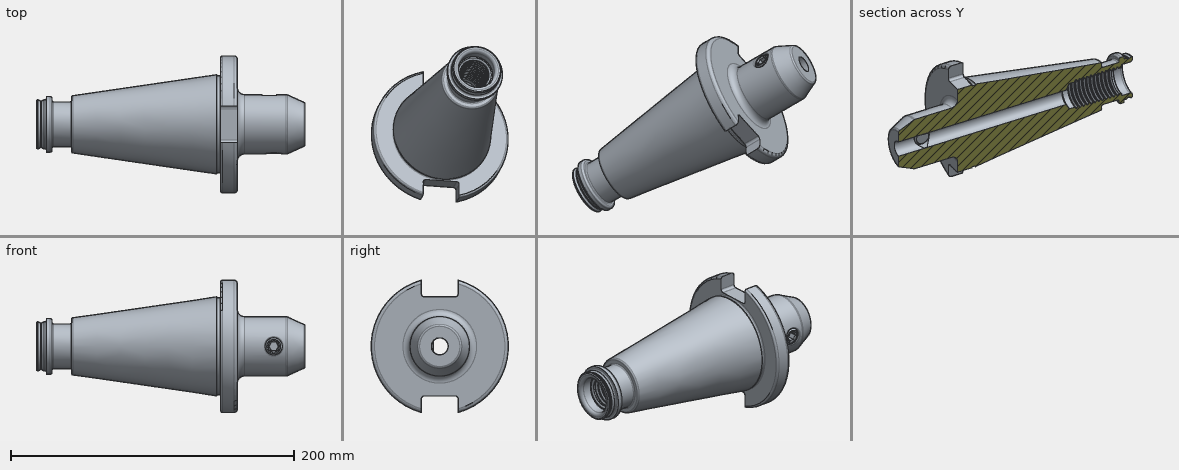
import cadquery as cq
import math

total_length = 189.8
gauge_x = 127.4
gauge_radius = 35.1
taper_slope = 7 / 48

tail_radius = 17.5
tail_edge_chamfer = 0.8
groove_start = 1.3
groove_length = 4.0
groove_depth = 1.0
groove_floor_length = 0.8
ring_start = 7.0
ring_end = 11.2
ring_radius = 19.7
ring_edge_radius = 1.5
ring_root_fillet = 0.5
neck_radius = 16.0
neck_fillet = 0.8
taper_start = 24.9
taper_edge_radius = 1.1

collar_radius = 34.4
collar_fillet = 0.5
flange_start = 130.0
flange_thickness = 12.0
flange_diameter = 97.0
flange_radius = flange_diameter / 2
flange_front_round = 1.5
flange_back_round = 2.5
slot_width = 25.8
slot_floor_height = 35.1
slot_corner_radius = 1.9

nose_radius = 21.0
nose_root_fillet = 5.0
nose_cone_start = 176.9
nose_cone_end_radius = 15.2
nose_shoulder_round = 2.3
nose_tip_round = 1.5
nose_flat_x = 164.4
nose_flat_length = 10.2
nose_flat_depth = 0.5

entry_radius = 13.0
entry_round = 2.5
entry_depth = 8.7
thread_major_radius = 12.0
thread_minor_radius = 10.5
thread_lead = 1.0
thread_pitch = 3.0
thread_turns = 12
thread_first_groove = 11.2
thread_flank_angle = 30
thread_crest_fraction = 1 / 4
drill_end = 51.2
drill_half_angle = 59
tool_bore_radius = 5.9

screw_x = 167.5
screw_radius = 6.0
screw_outer_end = 20.5
screw_inner_end = 4.5
screw_chamfer = 1.1
socket_flats = 5.9
socket_depth = 6.0
socket_lead_radius = 4.0
socket_lead_depth = 1.1
screw_hole_round = 0.5

flange_end = flange_start + flange_thickness


def revolve_profile(profile):
    """Turn a closed XY profile around the X axis."""
    return profile.close().revolve(360, (0, 0, 0), (1, 0, 0))


def ring_edge(body, x, radius):
    """Select the full circular edge of the given radius at the given X."""
    tolerance = 0.04
    return body.edges(
        cq.selectors.BoxSelector(
            (x - tolerance, -radius - tolerance, -radius - tolerance),
            (x + tolerance, radius + tolerance, radius + tolerance),
            boundingbox=True,
        )
    ).edges("%CIRCLE").edges(cq.selectors.RadiusNthSelector(-1))


def make_tail_and_taper():
    groove_end = groove_start + groove_length
    groove_floor_radius = tail_radius - groove_depth
    floor_start = groove_start + (groove_length - groove_floor_length) / 2
    floor_end = floor_start + groove_floor_length
    taper_start_radius = gauge_radius - taper_slope * (gauge_x - taper_start)
    profile = (
        cq.Workplane("XY")
        .moveTo(0, 0)
        .lineTo(0, tail_radius - tail_edge_chamfer)
        .lineTo(tail_edge_chamfer, tail_radius)
        .lineTo(groove_start, tail_radius)
        .lineTo(floor_start, groove_floor_radius)
        .lineTo(floor_end, groove_floor_radius)
        .lineTo(groove_end, tail_radius)
        .lineTo(ring_start, tail_radius)
        .lineTo(ring_start, ring_radius)
        .lineTo(ring_end, ring_radius)
        .lineTo(ring_end, neck_radius)
        .lineTo(taper_start, neck_radius)
        .lineTo(taper_start, taper_start_radius)
        .lineTo(gauge_x, gauge_radius)
        .lineTo(gauge_x, collar_radius)
        .lineTo(flange_start - collar_fillet, collar_radius)
        .radiusArc((flange_start, collar_radius + collar_fillet), -collar_fillet)
        .lineTo(flange_start, 0)
    )
    body = revolve_profile(profile)
    body = ring_edge(body, ring_start, tail_radius).fillet(ring_root_fillet)
    body = ring_edge(body, ring_end, ring_radius).fillet(ring_edge_radius)
    body = ring_edge(body, ring_end, neck_radius).fillet(neck_fillet)
    body = ring_edge(body, taper_start, neck_radius).fillet(neck_fillet)
    body = ring_edge(body, gauge_x, collar_radius).fillet(collar_fillet)
    return ring_edge(body, taper_start, taper_start_radius).fillet(taper_edge_radius)


def make_flange():
    body = cq.Workplane("YZ").workplane(offset=flange_start).circle(flange_radius).extrude(flange_thickness)
    body = body.faces("<X").edges().fillet(flange_front_round)
    return body.faces(">X").edges().fillet(flange_back_round)


def make_drive_slot(side):
    """Cutter for one drive slot; side is +1 for +Z and -1 for -Z."""
    slot_height = flange_radius
    slot = (
        cq.Workplane("XY")
        .box(flange_thickness, slot_width, slot_height, centered=(False, True, False))
        .edges("|X and <Z")
        .fillet(slot_corner_radius)
        .translate((flange_start, 0, slot_floor_height))
    )
    return slot if side > 0 else slot.mirror("XY")


def make_nose():
    profile = (
        cq.Workplane("XY")
        .moveTo(flange_end, 0)
        .lineTo(flange_end, nose_radius + nose_root_fillet)
        .radiusArc((flange_end + nose_root_fillet, nose_radius), -nose_root_fillet)
        .lineTo(nose_cone_start, nose_radius)
        .lineTo(total_length, nose_cone_end_radius)
        .lineTo(total_length, 0)
    )
    body = revolve_profile(profile)
    body = ring_edge(body, nose_cone_start, nose_radius).fillet(nose_shoulder_round)
    return body.faces(">X").edges().fillet(nose_tip_round)


def make_axial_bore():
    """Cutter for the drawbar entry, thread core, drill point and tool bore."""
    drill_point_length = (thread_minor_radius - tool_bore_radius) / math.tan(math.radians(drill_half_angle))
    profile = (
        cq.Workplane("XY")
        .moveTo(0, 0)
        .lineTo(0, entry_radius + entry_round)
        .radiusArc((entry_round, entry_radius), -entry_round)
        .lineTo(entry_depth, entry_radius)
        .lineTo(entry_depth, thread_major_radius)
        .lineTo(entry_depth + thread_lead, thread_minor_radius)
        .lineTo(drill_end, thread_minor_radius)
        .lineTo(drill_end + drill_point_length, tool_bore_radius)
        .lineTo(total_length, tool_bore_radius)
        .lineTo(total_length, 0)
    )
    return revolve_profile(profile)


def make_thread_groove(start):
    """Cutter for one turn of the drawbar thread, as a closed V groove beginning at X = start."""
    flank_length = (thread_major_radius - thread_minor_radius) * math.tan(math.radians(thread_flank_angle))
    mouth_length = (1 - thread_crest_fraction) * thread_pitch
    profile = (
        cq.Workplane("XY")
        .moveTo(start, tool_bore_radius)
        .lineTo(start, thread_minor_radius)
        .lineTo(start + flank_length, thread_major_radius)
        .lineTo(start + mouth_length - flank_length, thread_major_radius)
        .lineTo(start + mouth_length, thread_minor_radius)
        .lineTo(start + mouth_length, tool_bore_radius)
    )
    return revolve_profile(profile)


def cut_screw_hole(body):
    """Cross hole from the nose surface to the axis, with a rounded mouth."""
    hole = (
        cq.Workplane("XZ")
        .center(screw_x, 0)
        .circle(screw_radius)
        .extrude(nose_radius + screw_radius)
    )
    body = body.cut(hole)
    mouth = cq.selectors.BoxSelector(
        (screw_x - 2 * screw_radius, -2 * nose_radius, -2 * screw_radius),
        (screw_x + 2 * screw_radius, -nose_radius / 2, 2 * screw_radius),
        boundingbox=True,
    )
    return body.edges(mouth).edges("not %LINE").fillet(screw_hole_round)


def make_nose_flat():
    """Cutter for the shallow flat on the +Y side of the nose."""
    flat_y = nose_radius - nose_flat_depth
    return cq.Workplane("XY").box(
        nose_flat_length, nose_radius, 2 * nose_radius, centered=(True, False, True)
    ).translate((nose_flat_x, flat_y, 0))


def make_holder():
    nose = cut_screw_hole(make_nose())
    holder = make_tail_and_taper().union(make_flange())
    for side in (1, -1):
        holder = holder.cut(make_drive_slot(side))
    holder = holder.union(nose).cut(make_nose_flat()).cut(make_axial_bore())
    for turn in range(thread_turns):
        holder = holder.cut(make_thread_groove(thread_first_groove + turn * thread_pitch))
    return holder


def make_screw():
    """Headless screw with a hexagon socket in its outer end."""
    socket_corner_diameter = socket_flats / math.cos(math.pi / 6)
    length = screw_outer_end - screw_inner_end
    screw = (
        cq.Workplane("XZ", origin=(screw_x, -screw_inner_end, 0))
        .circle(screw_radius)
        .extrude(length)
        .faces("<Y or >Y")
        .edges()
        .chamfer(screw_chamfer)
    )
    outer_end = cq.Workplane("XZ", origin=(screw_x, -screw_outer_end, 0))
    socket = outer_end.polygon(6, socket_corner_diameter).extrude(-socket_depth)
    lead = cq.Workplane(
        cq.Solid.makeCone(
            socket_lead_radius,
            socket_lead_radius - socket_lead_depth,
            socket_lead_depth,
            cq.Vector(screw_x, -screw_outer_end, 0),
            cq.Vector(0, 1, 0),
        )
    )
    return screw.cut(socket).cut(lead)


holder = make_holder()
clamping_screw = make_screw()
result = cq.Compound.makeCompound([holder.val(), clamping_screw.val()])